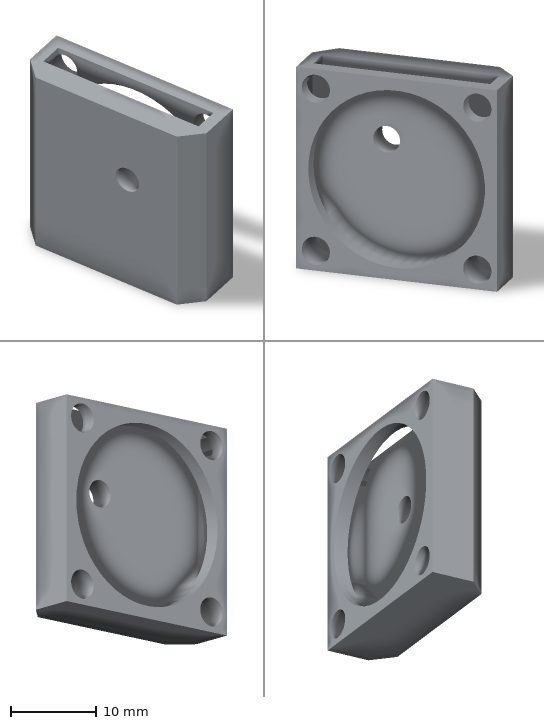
import cadquery as cq

width = 25.0
depth = 8.0
height = 25.0
chamfer = 2.5

front_wall = 3.05
pocket_depth = 3.1
pocket_radius = 11.0
ledge_start = 9.15
undercut = 1.25
lip_height = 1.5

front_hole_diameter = 3.3
front_hole_x = 15.5
front_hole_z = 15.5
corner_hole_diameter = 3.5
corner_inset = 2.45

centre_x = width / 2
centre_z = height / 2
pocket_back = front_wall + pocket_depth


def cylinder_along_y(x, z, diameter, y_start, y_end):
    """Cylinder between two depths, with its axis along Y."""
    plane = cq.Workplane("XZ", origin=(x, y_start, z))
    return plane.circle(diameter / 2).extrude(y_start - y_end)


def block():
    body = cq.Workplane("XY").box(width, depth, height, centered=False)
    return body.faces("<Y").edges("|Z").chamfer(chamfer)


def disc_pocket():
    """Slot with an arc floor, 45 degree ledges and undercut side walls."""
    side = pocket_radius + undercut
    top = height - centre_z
    lip_bottom = top - lip_height
    ledge_bottom = -((pocket_radius**2 - ledge_start**2) ** 0.5)
    ledge_top = ledge_bottom + side - ledge_start
    outline = (
        cq.Workplane("XZ", origin=(centre_x, front_wall, centre_z))
        .moveTo(-ledge_start, ledge_bottom)
        .threePointArc((0, -pocket_radius), (ledge_start, ledge_bottom))
        .lineTo(side, ledge_top)
        .lineTo(side, lip_bottom - undercut)
        .lineTo(pocket_radius, lip_bottom)
        .lineTo(pocket_radius, top)
        .lineTo(-pocket_radius, top)
        .lineTo(-pocket_radius, lip_bottom)
        .lineTo(-side, lip_bottom - undercut)
        .lineTo(-side, ledge_top)
        .close()
    )
    return outline.extrude(-pocket_depth)


result = block().cut(disc_pocket())

result = result.cut(cylinder_along_y(centre_x, centre_z, 2 * pocket_radius, pocket_back, depth))

result = result.cut(cylinder_along_y(front_hole_x, front_hole_z, front_hole_diameter, 0, front_wall))

for x in (corner_inset, width - corner_inset):
    for z in (corner_inset, height - corner_inset):
        result = result.cut(cylinder_along_y(x, z, corner_hole_diameter, front_wall, depth))